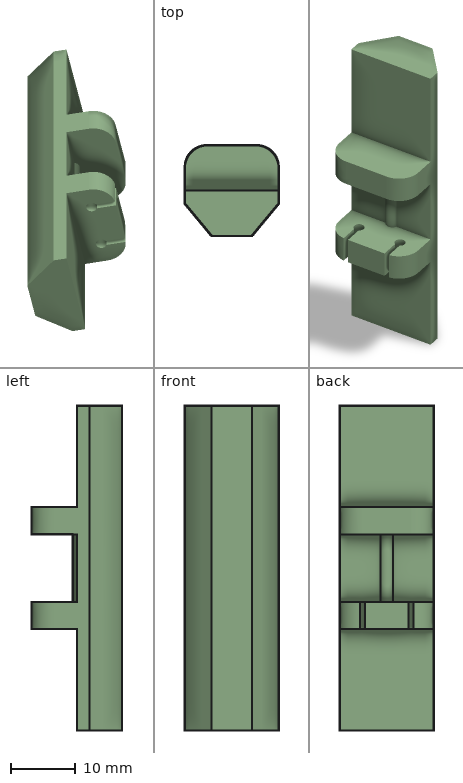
import cadquery as cq
import math

length = 50.0
width = 14.5
bar_depth = 7.0
front_flat_width = 6.2
bevel_depth = 5.0

total_depth = 14.0
lug_thickness = 4.2
lug_gap = 10.4
lug_corner_radius = 3.5

ridge_height = 0.65
ridge_radius = 1.05

slot_width = 0.8
slot_offset = 3.75
relief_radius = 0.85
relief_depth = 3.75


def make_bar():
    half_width = width / 2
    half_flat = front_flat_width / 2
    outline = [
        (-half_flat, 0),
        (half_flat, 0),
        (half_width, bevel_depth),
        (half_width, bar_depth),
        (-half_width, bar_depth),
        (-half_width, bevel_depth),
    ]
    return cq.Workplane("XY").polyline(outline).close().extrude(length / 2, both=True)


def make_lug(bottom_z):
    lug = cq.Workplane("XY").box(
        width, total_depth - bevel_depth, lug_thickness, centered=(True, False, False)
    )
    lug = lug.edges("|Z and >Y").fillet(lug_corner_radius)
    return lug.translate((0, bevel_depth, bottom_z))


def make_ridge():
    ridge_axis_y = bar_depth + ridge_height - ridge_radius
    half_chord = math.sqrt(ridge_radius**2 - (bar_depth - ridge_axis_y) ** 2)
    return (
        cq.Workplane("XY")
        .moveTo(-half_chord, bevel_depth)
        .lineTo(-half_chord, bar_depth)
        .threePointArc((0, bar_depth + ridge_height), (half_chord, bar_depth))
        .lineTo(half_chord, bevel_depth)
        .close()
        .extrude(lug_gap / 2, both=True)
    )


def make_keyhole_slot(center_x, bottom_z):
    relief_y = total_depth - relief_depth
    slot = cq.Workplane("XY").box(
        slot_width, relief_depth, lug_thickness, centered=(True, False, False)
    )
    relief = cq.Workplane("XY").circle(relief_radius).extrude(lug_thickness)
    return slot.union(relief).translate((center_x, relief_y, bottom_z))


upper_lug_z = lug_gap / 2
lower_lug_z = -lug_gap / 2 - lug_thickness

result = make_bar().union(make_ridge())
for lug_z in (lower_lug_z, upper_lug_z):
    result = result.union(make_lug(lug_z))
for slot_x in (-slot_offset, slot_offset):
    result = result.cut(make_keyhole_slot(slot_x, lower_lug_z))